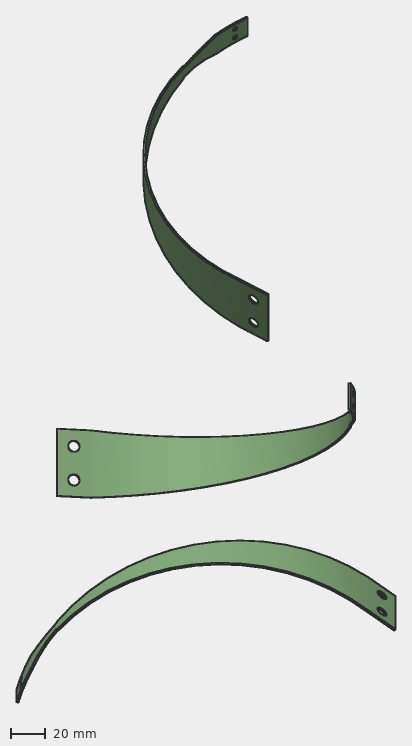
import cadquery as cq
import math

length_x = 147.3
length_y = 177.3
tab_length = 20.0
tab_width = 39.9
thickness = 1.2
outer_radius = length_x - tab_length
inner_radius = outer_radius - thickness

neck_width = 9.2
tip_neck_width = 7.5
tip_width = 15.6

tip_end = length_y - outer_radius
flare_end = 28.0

tab_hole_diameter = 6.5
tab_hole_spacing = 20.0
tab_hole_from_end = 10.0
tip_hole_diameter = 3.0
tip_hole_spacing = 7.3
tip_hole_from_end = 8.2


def taper_edge(radius, side):
    """Edge of the quarter arc, widening evenly with angle from neck to tab."""
    def point(fraction):
        angle = math.pi + fraction * math.pi / 2
        width = neck_width + fraction * (tab_width - neck_width)
        return (radius * math.cos(angle), radius * math.sin(angle), side * width / 2)

    return cq.Workplane("XY").parametricCurve(point, N=40, makeWire=False).val()


def make_tapered_arc():
    outer_top = taper_edge(outer_radius, 1)
    outer_bottom = taper_edge(outer_radius, -1)
    inner_bottom = taper_edge(inner_radius, -1)
    inner_top = taper_edge(inner_radius, 1)
    loop = [outer_top, outer_bottom, inner_bottom, inner_top]
    faces = [cq.Face.makeRuledSurface(loop[i - 1], loop[i]) for i in range(4)]
    for end in (0, 1):
        corners = [edge.positionAt(end) for edge in loop]
        faces.append(cq.Face.makeFromWires(cq.Wire.makePolygon(corners, close=True)))
    return cq.Workplane(cq.Solid.makeSolid(cq.Shell.makeShell(faces)))


def make_tab():
    tab = cq.Workplane("XY").box(tab_length, thickness, tab_width, centered=(False, False, True))
    return tab.translate((0, -outer_radius, 0))


def make_tip():
    end_angle = math.pi - math.asin(tip_end / outer_radius)
    middle_angle = (math.pi + end_angle) / 2

    def on_arc(radius, angle):
        return (radius * math.cos(angle), radius * math.sin(angle))

    band = (
        cq.Workplane("XY", origin=(0, 0, -tip_width / 2))
        .moveTo(-outer_radius, 0)
        .threePointArc(on_arc(outer_radius, middle_angle), on_arc(outer_radius, end_angle))
        .lineTo(*on_arc(inner_radius, end_angle))
        .threePointArc(on_arc(inner_radius, middle_angle), (-inner_radius, 0))
        .close()
        .extrude(tip_width)
    )

    flare_rise = (tip_width - tip_neck_width) / 2
    flare_radius = (flare_end**2 + flare_rise**2) / (2 * flare_rise)
    flare_middle = flare_end / 2
    middle_rise = flare_radius - math.sqrt(flare_radius**2 - flare_middle**2)
    middle_half_width = tip_neck_width / 2 + middle_rise
    outline = (
        cq.Workplane("YZ", origin=(-outer_radius, 0, 0))
        .moveTo(0, -tip_neck_width / 2)
        .threePointArc((flare_middle, -middle_half_width), (flare_end, -tip_width / 2))
        .lineTo(tip_end, -tip_width / 2)
        .lineTo(tip_end, tip_width / 2)
        .lineTo(flare_end, tip_width / 2)
        .threePointArc((flare_middle, middle_half_width), (0, tip_neck_width / 2))
        .close()
        .extrude(outer_radius)
    )
    return band.intersect(outline)


def make_tab_holes():
    return (
        cq.Workplane("XZ", origin=(tab_length - tab_hole_from_end, -inner_radius, 0))
        .rarray(1.8, tab_hole_spacing, 1, 2)
        .circle(tab_hole_diameter / 2)
        .extrude(2 * thickness, both=True)
    )


def make_tip_holes():
    """Holes square to the strap surface, drilled along a radius."""
    hole_angle = math.asin((tip_end - tip_hole_from_end) / outer_radius)
    return (
        cq.Workplane("YZ", origin=(-outer_radius, 0, 0))
        .rarray(1.8, tip_hole_spacing, 1, 2)
        .circle(tip_hole_diameter / 2)
        .extrude(2 * thickness, both=True)
        .rotate((0, 0, 0), (0, 0, 1), -math.degrees(hole_angle))
    )


strap = make_tapered_arc().union(make_tab()).union(make_tip())
result = strap.cut(make_tab_holes()).cut(make_tip_holes())